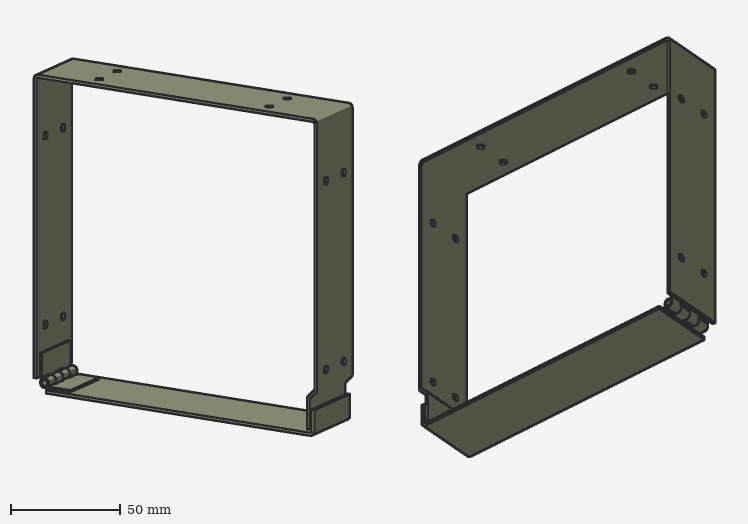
import cadquery as cq
import math

WIDTH = 150.8
HEIGHT = 150.7
DEPTH = 31.8

SHEET = 1.5
BEND_INNER = 0.9
BEND_OUTER = BEND_INNER + SHEET
CORNER_REACH = 0.2

LEFT = -WIDTH / 2
RIGHT = WIDTH / 2
TOP = HEIGHT / 2
BOTTOM = -HEIGHT / 2

HINGE_RELIEF = 6.5

JOGGLE_START = -53.8
JOGGLE_ANGLE = 45.0
JOGGLE_OFFSET = 3.9
TAB_BOTTOM = -72.4

LID_WALL_OUTER = 73.9
LID_WALL_TOP = -62.7

HOLE_DIAMETER = 3.5
TOP_HOLE_PITCH = 90.5
SIDE_HOLE_PITCH = 89.6
SIDE_HOLE_BOTTOM = -45.2
HOLE_PITCH_DEEP = 15.8

PIN_DIAMETER = 2.9
LEAF = 0.9
KNUCKLE_RADIUS = PIN_DIAMETER / 2 + LEAF
KNUCKLE_COUNT = 4
HINGE_DEPTH = 25.3
KNUCKLE_LENGTH = HINGE_DEPTH / KNUCKLE_COUNT
FLOOR_KNUCKLES = range(0, KNUCKLE_COUNT, 2)
WALL_KNUCKLES = range(1, KNUCKLE_COUNT, 2)
LEAF_REACH = 16.3
PIN_X = LEFT + SHEET + KNUCKLE_RADIUS
PIN_Z = BOTTOM + SHEET + KNUCKLE_RADIUS


def extrude_along_y(sketch, front, back):
    """Extrude an XZ sketch, whose plane faces -Y, from Y=front to Y=back."""
    return sketch.extrude(-(back - front)).translate((0, front, 0))


def box_at(x_min, x_max, y_min, y_max, z_min, z_max):
    """Box given by its limits along the three axes."""
    size = (x_max - x_min, y_max - y_min, z_max - z_min)
    return cq.Workplane("XY").box(*size, centered=False).translate((x_min, y_min, z_min))


def round_bend(body, inner, outer):
    """Round one bend of a folded sheet, given the (x, z) of its inner and outer corners."""
    for (x, z), radius in ((inner, BEND_INNER), (outer, BEND_OUTER)):
        near_edge = cq.selectors.BoxSelector(
            (x - CORNER_REACH, -DEPTH, z - CORNER_REACH),
            (x + CORNER_REACH, DEPTH, z + CORNER_REACH),
        )
        body = body.edges("|Y").edges(near_edge).fillet(radius)
    return body


def make_frame():
    """U-shaped frame whose right wall ends in a tab stepped inward by a sloping joggle."""
    wall_bottom = BOTTOM + HINGE_RELIEF
    mitre = SHEET * math.tan(math.radians(JOGGLE_ANGLE / 2))
    left_in = LEFT + SHEET
    right_in = RIGHT - SHEET
    top_in = TOP - SHEET
    tab_out = RIGHT - JOGGLE_OFFSET
    tab_in = tab_out - SHEET
    slope_end = JOGGLE_START - JOGGLE_OFFSET / math.tan(math.radians(JOGGLE_ANGLE))
    upper_bend = ((right_in, JOGGLE_START + mitre), (RIGHT, JOGGLE_START))
    lower_bend = ((tab_out, slope_end), (tab_in, slope_end + mitre))
    outline = [
        (LEFT, wall_bottom),
        (LEFT, TOP),
        (RIGHT, TOP),
        (RIGHT, JOGGLE_START),
        (tab_out, slope_end),
        (tab_out, TAB_BOTTOM),
        (tab_in, TAB_BOTTOM),
        (tab_in, slope_end + mitre),
        (right_in, JOGGLE_START + mitre),
        (right_in, top_in),
        (left_in, top_in),
        (left_in, wall_bottom),
    ]
    sketch = cq.Workplane("XZ").polyline(outline).close()
    frame = extrude_along_y(sketch, -DEPTH / 2, DEPTH / 2)
    frame = round_bend(frame, (left_in, top_in), (LEFT, TOP))
    frame = round_bend(frame, (right_in, top_in), (RIGHT, TOP))
    frame = round_bend(frame, *upper_bend)
    frame = round_bend(frame, *lower_bend)
    return frame.cut(top_holes()).cut(side_holes())


def top_holes():
    """Cutters for the four holes through the top wall."""
    pattern = cq.Workplane("XY").rarray(TOP_HOLE_PITCH, HOLE_PITCH_DEEP, 2, 2)
    return pattern.circle(HOLE_DIAMETER / 2).extrude(HEIGHT)


def side_holes():
    """Cutters that each pass through both side walls."""
    middle = SIDE_HOLE_BOTTOM + SIDE_HOLE_PITCH / 2
    pattern = cq.Workplane("YZ").center(0, middle).rarray(HOLE_PITCH_DEEP, SIDE_HOLE_PITCH, 2, 2)
    return pattern.circle(HOLE_DIAMETER / 2).extrude(WIDTH, both=True)


def make_lid():
    """Floor plate with a short wall folded up outside the frame's tab."""
    lid_left = LEFT + HINGE_RELIEF
    wall_in = LID_WALL_OUTER - SHEET
    floor_in = BOTTOM + SHEET
    outline = [
        (lid_left, BOTTOM),
        (LID_WALL_OUTER, BOTTOM),
        (LID_WALL_OUTER, LID_WALL_TOP),
        (wall_in, LID_WALL_TOP),
        (wall_in, floor_in),
        (lid_left, floor_in),
    ]
    sketch = cq.Workplane("XZ").polyline(outline).close()
    lid = extrude_along_y(sketch, -DEPTH / 2, DEPTH / 2)
    return round_bend(lid, (wall_in, floor_in), (LID_WALL_OUTER, BOTTOM))


def knuckle_span(index):
    """Front and back Y of a knuckle, counted from the front."""
    front = -HINGE_DEPTH / 2 + index * KNUCKLE_LENGTH
    return front, front + KNUCKLE_LENGTH


def cylinder_at_pin(radius, front, back):
    """Cylinder about the pin axis."""
    return extrude_along_y(cq.Workplane("XZ").center(PIN_X, PIN_Z).circle(radius), front, back)


def make_leaf(plate, own_knuckles, other_knuckles):
    """Join a plate to its own knuckles, clear the other leaf's knuckles and bore for the pin."""
    leaf = plate
    for index in own_knuckles:
        leaf = leaf.union(cylinder_at_pin(KNUCKLE_RADIUS, *knuckle_span(index)))
    for index in other_knuckles:
        front, back = knuckle_span(index)
        leaf = leaf.cut(
            box_at(
                PIN_X - KNUCKLE_RADIUS, PIN_X + KNUCKLE_RADIUS,
                front, back,
                PIN_Z - KNUCKLE_RADIUS, PIN_Z + KNUCKLE_RADIUS,
            )
        )
    return leaf.cut(cylinder_at_pin(PIN_DIAMETER / 2, -HINGE_DEPTH / 2, HINGE_DEPTH / 2))


def make_wall_leaf():
    """Hinge leaf that lies against the inside of the frame's left wall."""
    outer = PIN_X - KNUCKLE_RADIUS
    free_edge = PIN_Z - KNUCKLE_RADIUS + LEAF_REACH
    plate = box_at(outer, outer + LEAF, -HINGE_DEPTH / 2, HINGE_DEPTH / 2, PIN_Z, free_edge)
    return make_leaf(plate, WALL_KNUCKLES, FLOOR_KNUCKLES)


def make_floor_leaf():
    """Hinge leaf that lies on the lid's floor."""
    outer = PIN_Z - KNUCKLE_RADIUS
    free_edge = PIN_X - KNUCKLE_RADIUS + LEAF_REACH
    plate = box_at(PIN_X, free_edge, -HINGE_DEPTH / 2, HINGE_DEPTH / 2, outer, outer + LEAF)
    return make_leaf(plate, FLOOR_KNUCKLES, WALL_KNUCKLES)


def make_pin():
    """Hinge pin, flush with the ends of the knuckles."""
    return cylinder_at_pin(PIN_DIAMETER / 2, -HINGE_DEPTH / 2, HINGE_DEPTH / 2)


frame = make_frame()
lid = make_lid()
wall_leaf = make_wall_leaf()
floor_leaf = make_floor_leaf()
pin = make_pin()

result = cq.Compound.makeCompound(
    [frame.val(), lid.val(), wall_leaf.val(), floor_leaf.val(), pin.val()]
)